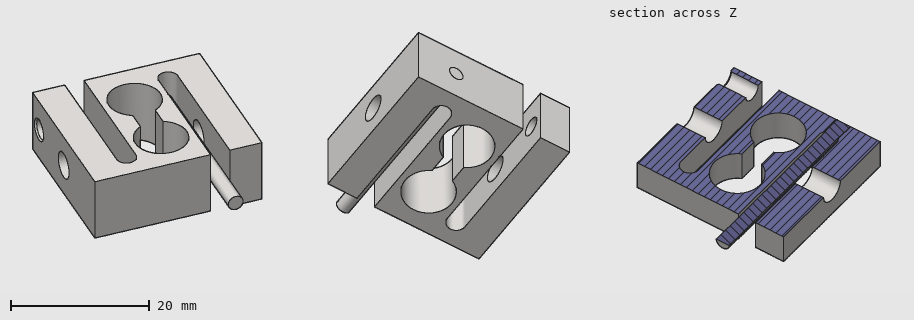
import cadquery as cq

TOTAL_LENGTH = 30.0
BLOCK_LENGTH = 24.0
BLOCK_WIDTH = 26.0
BLOCK_HEIGHT = 10.0
MID_Y = BLOCK_WIDTH / 2
MID_Z = BLOCK_HEIGHT / 2

ARM_WIDTH = 5.0
SLOT_WIDTH = 3.0
SLOT_WALL = 2.5
SLOT_OFFSET = ARM_WIDTH + SLOT_WIDTH / 2

LOBE_DIAMETER = 8.0
LOBE_SPACING = 10.2
WINDOW_MID_X = 12.25
NECK_WIDTH = 3.5

MAIN_HOLE_DIAMETER = 4.15
MAIN_HOLE_X = BLOCK_LENGTH / 2
SIDE_HOLE_DIAMETER = 3.0
SIDE_HOLE_MOUTH_DIAMETER = 3.5
SIDE_HOLE_X = 2.5
MOUTH_DEPTH = (SIDE_HOLE_MOUTH_DIAMETER - SIDE_HOLE_DIAMETER) / 2

CABLE_DIAMETER = 2.3
CABLE_Y = BLOCK_WIDTH - SLOT_OFFSET


def make_slot(open_x, closed_x, y):
    """Full-height slot, open at one side and round at its closed end."""
    direction = 1 if closed_x > open_x else -1
    radius = SLOT_WIDTH / 2
    round_x = closed_x - direction * radius
    return (
        cq.Workplane("XY")
        .moveTo(open_x, y - radius)
        .lineTo(round_x, y - radius)
        .threePointArc((closed_x, y), (round_x, y + radius))
        .lineTo(open_x, y + radius)
        .close()
        .extrude(BLOCK_HEIGHT)
    )


def make_window():
    """Two round lobes joined by a straight neck."""
    lobes = (
        cq.Workplane("XY")
        .center(WINDOW_MID_X, MID_Y)
        .pushPoints([(-LOBE_SPACING / 2, 0), (LOBE_SPACING / 2, 0)])
        .circle(LOBE_DIAMETER / 2)
        .extrude(BLOCK_HEIGHT)
    )
    neck = (
        cq.Workplane("XY")
        .center(WINDOW_MID_X, MID_Y)
        .rect(LOBE_SPACING, NECK_WIDTH)
        .extrude(BLOCK_HEIGHT)
    )
    return lobes.union(neck)


def make_arm_hole(x, diameter):
    """Round hole along Y through the front arm, ending in the slot."""
    return (
        cq.Workplane("XZ")
        .center(x, MID_Z)
        .circle(diameter / 2)
        .extrude(-ARM_WIDTH - SLOT_WIDTH / 2)
    )


def make_hole_mouth():
    """Conical entry of the side hole."""
    return cq.Workplane(
        cq.Solid.makeCone(
            SIDE_HOLE_MOUTH_DIAMETER / 2,
            SIDE_HOLE_DIAMETER / 2,
            MOUTH_DEPTH,
            pnt=cq.Vector(SIDE_HOLE_X, 0, MID_Z),
            dir=cq.Vector(0, 1, 0),
        )
    )


def make_cable():
    """Round cable along X, flush with the left face and standing out on the right."""
    return (
        cq.Workplane("YZ")
        .center(CABLE_Y, MID_Z)
        .circle(CABLE_DIAMETER / 2)
        .extrude(TOTAL_LENGTH)
    )


def make_block(cable):
    """S-shaped block with its slots, window and holes, bored to fit the cable."""
    main_hole = make_arm_hole(MAIN_HOLE_X, MAIN_HOLE_DIAMETER)
    return (
        cq.Workplane("XY")
        .box(BLOCK_LENGTH, BLOCK_WIDTH, BLOCK_HEIGHT, centered=False)
        .cut(make_slot(0, BLOCK_LENGTH - SLOT_WALL, SLOT_OFFSET))
        .cut(make_slot(BLOCK_LENGTH, SLOT_WALL, BLOCK_WIDTH - SLOT_OFFSET))
        .cut(make_window())
        .cut(main_hole)
        .cut(main_hole.mirror("XZ", (0, MID_Y, 0)))
        .cut(make_arm_hole(SIDE_HOLE_X, SIDE_HOLE_DIAMETER))
        .cut(make_hole_mouth())
        .cut(cable)
    )


cable = make_cable()
block = make_block(cable)

result = cq.Compound.makeCompound([block.val(), cable.val()])